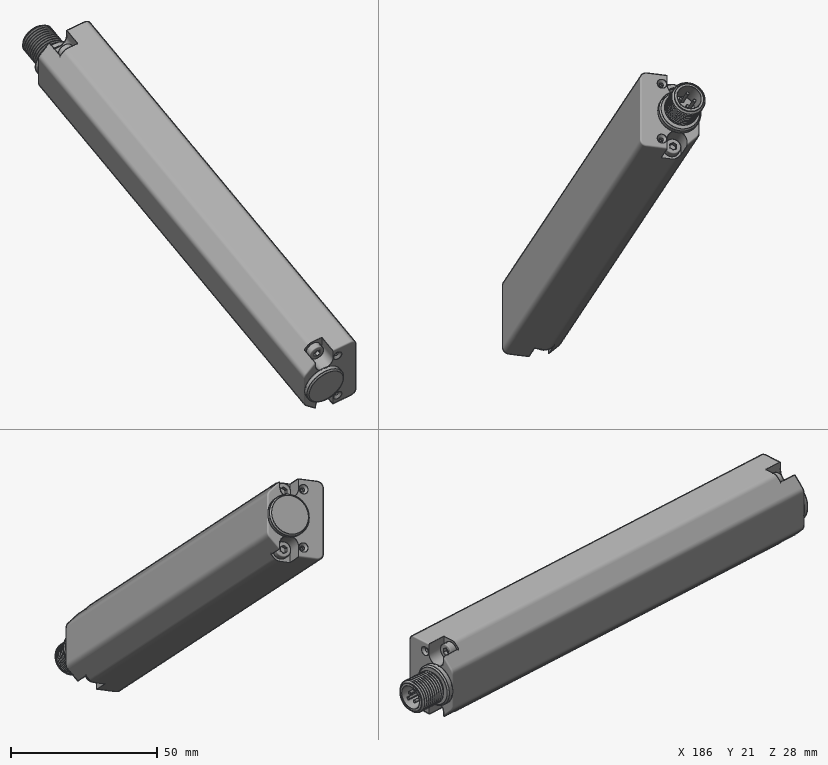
import cadquery as cq
import math

total_length = 186.0
cap_start = 13.0
cap_end = 184.0
cap_length = 13.0

depth = 21.0
height = 28.0
half_height = height / 2
front_y = -7.5
back_y = front_y + depth
front_slope = 6.5
front_round = 2.8
back_round = 2.5
rim_round = 0.5

screw_y = 0.5
screw_z = 10.5
pocket_radius = 3.5
pocket_depth = 7.3
head_radius = 2.8
head_length = 2.6
head_round = 0.4
socket_flats = 2.5
socket_depth = 1.5

hole_y = 6.0
hole_radius = 0.7
hole_depth = 2.2
countersink_radius = 1.7

flange_radius = 7.5
flange_start = 10.8
flange_chamfer = 0.5

thread_radius = 6.0
thread_root_radius = 5.2
thread_pitch = 1.0
thread_count = 10
thread_start = 0.4
bore_radius = 4.3
bore_depth = 8.4
key_circle = 3.9
key_radius = 0.5
key_angle = 39.0
contact_circle = 2.5
contact_radius = 0.5
contact_length = 6.5
contact_count = 4


def rod(x_start, length, radius, y=0.0, z=0.0):
    """Cylinder running along +X from x_start."""
    return cq.Workplane("YZ", origin=(x_start, y, z)).circle(radius).extrude(length)


def housing_prism(x_start, length):
    """Housing section along X: sloped, rounded front corners and rounded back corners."""
    slope_y = front_y + front_slope
    slope_z = half_height - front_slope
    section = [
        (back_y, -half_height),
        (back_y, half_height),
        (slope_y, half_height),
        (front_y, slope_z),
        (front_y, -slope_z),
        (slope_y, -half_height),
    ]
    prism = cq.Workplane("YZ", origin=(x_start, 0, 0)).polyline(section).close().extrude(length)
    prism = prism.edges("|X").edges("not >Y").fillet(front_round)
    return prism.edges("|X and >Y").edges(">Z or <Z").fillet(back_round)


def screw_pocket(side):
    """Round-bottomed slot, open to the cap face and to the side wall (side is +1 or -1)."""
    slot_height = 2 * (half_height - screw_z)
    slot = cq.Workplane("XY").box(pocket_depth, 2 * pocket_radius, slot_height)
    slot = slot.translate((pocket_depth / 2, screw_y, side * half_height))
    return rod(0, pocket_depth, pocket_radius, screw_y, side * screw_z).union(slot)


def screw_head(side):
    """Socket head standing on the pocket floor."""
    head_face = pocket_depth - head_length
    head = rod(head_face, head_length, head_radius, screw_y, side * screw_z)
    head = head.faces("<X").edges().fillet(head_round)
    socket = cq.Workplane("YZ", origin=(head_face, screw_y, side * screw_z))
    socket = socket.polygon(6, socket_flats, circumscribed=True).extrude(socket_depth)
    return head.cut(socket)


def countersunk_hole(side):
    """Blind hole with a 90 degree countersink at the cap face."""
    countersink_depth = countersink_radius - hole_radius
    profile = [
        (0, 0),
        (0, countersink_radius),
        (countersink_depth, hole_radius),
        (hole_depth, hole_radius),
        (hole_depth, 0),
    ]
    tool = cq.Workplane("XY").polyline(profile).close().revolve(360, (0, 0, 0), (1, 0, 0))
    return tool.translate((0, hole_y, side * screw_z))


def end_cap():
    """End cap with its outer face at x = 0, reaching inwards along +X."""
    cap = housing_prism(0, cap_length).faces("<X").edges().fillet(rim_round)
    for side in (1, -1):
        cap = cap.cut(screw_pocket(side)).union(screw_head(side)).cut(countersunk_hole(side))
    return cap


def connector():
    """Threaded plug, its thread simplified to rings, with a keyed bore and contact pins."""
    profile = [(0, 0), (0, thread_root_radius), (thread_start, thread_root_radius)]
    for ring in range(thread_count):
        ring_start = thread_start + ring * thread_pitch
        profile.append((ring_start + thread_pitch / 2, thread_radius))
        profile.append((ring_start + thread_pitch, thread_root_radius))
    profile += [(cap_start, thread_root_radius), (cap_start, 0)]
    plug = cq.Workplane("XY").polyline(profile).close().revolve(360, (0, 0, 0), (1, 0, 0))
    plug = plug.cut(rod(0, bore_depth, bore_radius))

    for contact in range(contact_count):
        angle = 2 * math.pi * contact / contact_count
        pin_y = contact_circle * math.cos(angle)
        pin_z = contact_circle * math.sin(angle)
        plug = plug.union(rod(bore_depth - contact_length, contact_length, contact_radius, pin_y, pin_z))

    key_y = key_circle * math.cos(math.radians(key_angle))
    key_z = -key_circle * math.sin(math.radians(key_angle))
    return plug.union(rod(bore_depth - contact_length, contact_length, key_radius, key_y, key_z))


cap = end_cap()
near_cap = cap.translate((cap_start, 0, 0))
far_cap = cap.mirror("YZ").translate((cap_end, 0, 0))
middle = housing_prism(cap_start + cap_length, cap_end - cap_start - 2 * cap_length)

flange = rod(flange_start, cap_start - flange_start, flange_radius).faces("<X").chamfer(flange_chamfer)
far_plug = rod(cap_end, total_length - cap_end, flange_radius).faces(">X").chamfer(flange_chamfer)

result = middle
for piece in (near_cap, far_cap, flange.union(connector()), far_plug):
    result = result.union(piece, clean=False)